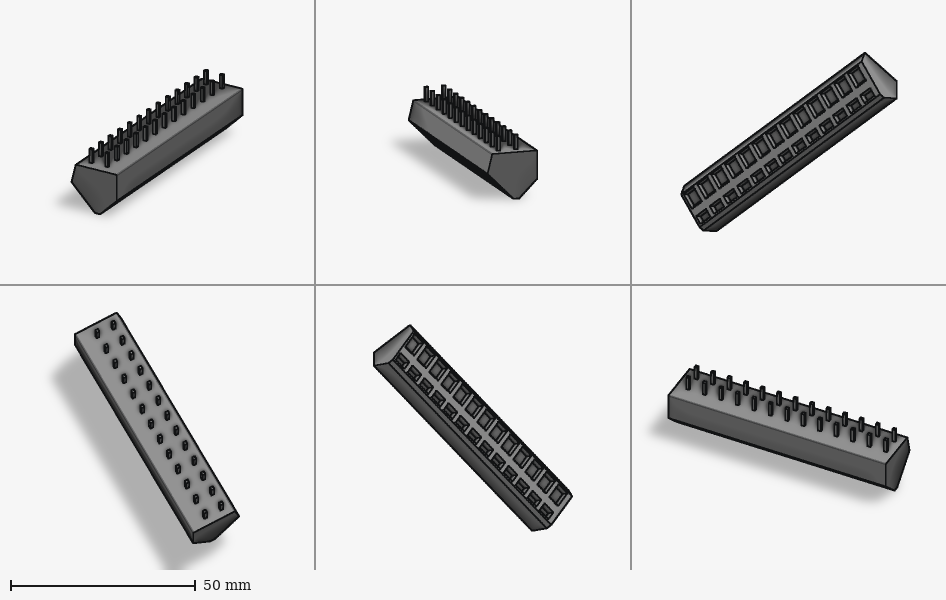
import cadquery as cq
import math

length = 66.0
width = 14.25
body_height = 13.0
nose_left = 7.45
nose_right = 9.05
left_corner_z = 7.5
right_corner_z = 5.15
top_setback = 1.3
top_edge_radius = 0.2

stations = 13
first_station_inset = 2.5
last_station_inset = 3.5
pitch = (length - first_station_inset - last_station_inset) / (stations - 1)

pin_side = 0.85
pin_height = 4.0
pin_row_x = 4.2
pin_row_spacing = pitch

pocket_width = 3.6
lower_pocket_depth = 2.65
upper_pocket_depth = 2.45
lower_pocket_start = 0.6
lower_pocket_end = 3.1
upper_pocket_start = 5.55
upper_pocket_end = 10.2
ledge_depth = 0.7

face_length = math.hypot(nose_left, left_corner_z)
along_face = (-nose_left / face_length, left_corner_z / face_length)
into_face = (along_face[1], -along_face[0])
lean = top_setback / (body_height - left_corner_z)

station_y = [length / 2 - first_station_inset - i * pitch for i in range(stations)]


def face_point(along, depth):
    """(X, Z) of a point measured along the lower left face and into the body."""
    x = nose_left + along * along_face[0] + depth * into_face[0]
    z = along * along_face[1] + depth * into_face[1]
    return (x, z)


def prism(outline, center_y, thickness):
    """Extrude an XZ outline along Y, centred on center_y."""
    plane = cq.Plane(origin=(0, center_y, 0), xDir=(1, 0, 0), normal=(0, -1, 0))
    return cq.Workplane(plane).polyline(outline).close().extrude(thickness / 2, both=True)


def housing():
    outline = [
        (nose_left, 0),
        (nose_right, 0),
        (width, right_corner_z),
        (width, body_height),
        (top_setback, body_height),
        (0, left_corner_z),
    ]
    return prism(outline, 0, length).faces(">Z").edges("|Y").fillet(top_edge_radius)


def lower_pocket_outline():
    return [
        face_point(lower_pocket_start, 0),
        face_point(lower_pocket_start, lower_pocket_depth),
        face_point(lower_pocket_end, lower_pocket_depth),
        face_point(lower_pocket_end, 0),
    ]


def upper_pocket_outline():
    """Ledge, then a ramp parallel to the upper left face, then a flat floor."""
    ramp_direction = (lean, 1)
    ramp_sink = ramp_direction[0] * into_face[0] + ramp_direction[1] * into_face[1]
    ramp_climb = ramp_direction[0] * along_face[0] + ramp_direction[1] * along_face[1]
    ramp_end = upper_pocket_start + (upper_pocket_depth - ledge_depth) * ramp_climb / ramp_sink
    return [
        face_point(upper_pocket_start, 0),
        face_point(upper_pocket_start, ledge_depth),
        face_point(ramp_end, upper_pocket_depth),
        face_point(upper_pocket_end, upper_pocket_depth),
        face_point(upper_pocket_end, 0),
    ]


def pins():
    spots = [(pin_row_x + row * pin_row_spacing, y) for y in station_y for row in range(2)]
    return (
        cq.Workplane("XY", origin=(0, 0, body_height))
        .pushPoints(spots)
        .rect(pin_side, pin_side)
        .extrude(pin_height)
    )


result = housing()
for y in station_y:
    result = result.cut(prism(lower_pocket_outline(), y, pocket_width))
    result = result.cut(prism(upper_pocket_outline(), y, pocket_width))
result = result.union(pins())